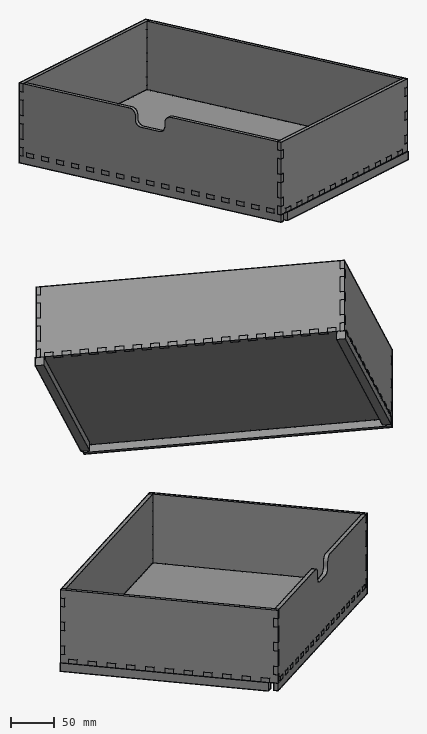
import cadquery as cq

OVERALL_WIDTH = 362.0
BOX_DEPTH = 259.0
OVERALL_HEIGHT = 98.0
WALL = 5.0

RUNNER_OVERHANG = 1.0
RUNNER_WIDTH = 10.0
RUNNER_HEIGHT = 10.0
RUNNER_SETBACK = 11.2
LIP_CLEARANCE = 1.0

TAB = 10.0
FLOOR_TABS_X = 17
FLOOR_TABS_Y = 11
FLOOR_TAB_MARGIN = 4.7
CORNER_TABS = 3

NOTCH_WIDTH = 40.5
NOTCH_DEPTH = 20.3
NOTCH_RADIUS = 8.0

BOX_WIDTH = OVERALL_WIDTH - 2 * RUNNER_OVERHANG
INNER_WIDTH = BOX_WIDTH - 2 * WALL
INNER_DEPTH = BOX_DEPTH - 2 * WALL
FRONT_Y = -BOX_DEPTH / 2
WALL_CENTRE_X = (BOX_WIDTH - WALL) / 2
WALL_CENTRE_Y = (BOX_DEPTH - WALL) / 2
FLOOR_BOTTOM = RUNNER_HEIGHT
SIDE_HEIGHT = OVERALL_HEIGHT - FLOOR_BOTTOM

FLOOR_PITCH_X = (INNER_WIDTH - 2 * FLOOR_TAB_MARGIN - TAB) / (FLOOR_TABS_X - 1)
FLOOR_PITCH_Y = (INNER_DEPTH - 2 * FLOOR_TAB_MARGIN - TAB) / (FLOOR_TABS_Y - 1)

CORNER_PITCH = (SIDE_HEIGHT - 2 * TAB - TAB) / (CORNER_TABS - 1)
CORNER_TABS_CENTRE = FLOOR_BOTTOM + SIDE_HEIGHT / 2


def block(size_x, size_y, bottom, top, x=0, y=0):
    """Upright block centred on (x, y) between two heights."""
    height = top - bottom
    return cq.Workplane().box(size_x, size_y, height).translate((x, y, bottom + height / 2))


def centred_row(count, pitch):
    """Positions of an evenly spaced row with its middle at zero."""
    return [(i - (count - 1) / 2) * pitch for i in range(count)]


def make_floor():
    """Floor panel with tabs that reach the outer faces of all four walls."""
    top = FLOOR_BOTTOM + WALL
    floor = block(INNER_WIDTH, INNER_DEPTH, FLOOR_BOTTOM, top)
    for x in centred_row(FLOOR_TABS_X, FLOOR_PITCH_X):
        floor = floor.union(block(TAB, BOX_DEPTH, FLOOR_BOTTOM, top, x=x))
    for y in centred_row(FLOOR_TABS_Y, FLOOR_PITCH_Y):
        floor = floor.union(block(BOX_WIDTH, TAB, FLOOR_BOTTOM, top, y=y))
    return floor


def make_end_panel(y, bottom, floor):
    """Front or back panel: corner tabs at both ends and slots for the floor tabs."""
    panel = block(INNER_WIDTH, WALL, bottom, OVERALL_HEIGHT, y=y)
    for offset in centred_row(CORNER_TABS, CORNER_PITCH):
        middle = CORNER_TABS_CENTRE + offset
        panel = panel.union(block(BOX_WIDTH, WALL, middle - TAB / 2, middle + TAB / 2, y=y))
    return panel.cut(floor)


def make_front_panel(floor):
    """End panel with a full-width lip below the floor and a finger notch in the rim."""
    lip = block(BOX_WIDTH, WALL, LIP_CLEARANCE, FLOOR_BOTTOM, y=-WALL_CENTRE_Y)
    panel = make_end_panel(-WALL_CENTRE_Y, LIP_CLEARANCE, floor).union(lip)
    return panel.cut(make_notch_cutter())


def make_notch_cutter():
    """Notch with rounded lower corners and a rounded flare where it meets the rim."""
    half = NOTCH_WIDTH / 2
    r = NOTCH_RADIUS
    outline = (
        cq.Workplane("XZ", origin=(0, FRONT_Y, OVERALL_HEIGHT))
        .moveTo(-half - r, 0)
        .radiusArc((-half, -r), r)
        .lineTo(-half, r - NOTCH_DEPTH)
        .radiusArc((r - half, -NOTCH_DEPTH), -r)
        .lineTo(half - r, -NOTCH_DEPTH)
        .radiusArc((half, r - NOTCH_DEPTH), -r)
        .lineTo(half, -r)
        .radiusArc((half + r, 0), r)
        .close()
    )
    return outline.extrude(-WALL)


def make_side_panel(side, floor, front, back):
    """Full-depth side panel, notched for the floor tabs and the corner tabs."""
    panel = block(WALL, BOX_DEPTH, FLOOR_BOTTOM, OVERALL_HEIGHT, x=side * WALL_CENTRE_X)
    return panel.cut(floor).cut(front).cut(back)


def make_runner(side):
    """Strip under a side panel, from the back face to behind the front panel."""
    return block(
        RUNNER_WIDTH,
        BOX_DEPTH - RUNNER_SETBACK,
        0,
        RUNNER_HEIGHT,
        x=side * (OVERALL_WIDTH - RUNNER_WIDTH) / 2,
        y=RUNNER_SETBACK / 2,
    )


floor_panel = make_floor()
front_panel = make_front_panel(floor_panel)
back_panel = make_end_panel(WALL_CENTRE_Y, FLOOR_BOTTOM, floor_panel)
side_panels = [make_side_panel(side, floor_panel, front_panel, back_panel) for side in (-1, 1)]
runners = [make_runner(side) for side in (-1, 1)]

result = cq.Compound.makeCompound([
    floor_panel.val(),
    front_panel.val(),
    back_panel.val(),
    *[panel.val() for panel in side_panels],
    *[runner.val() for runner in runners],
])